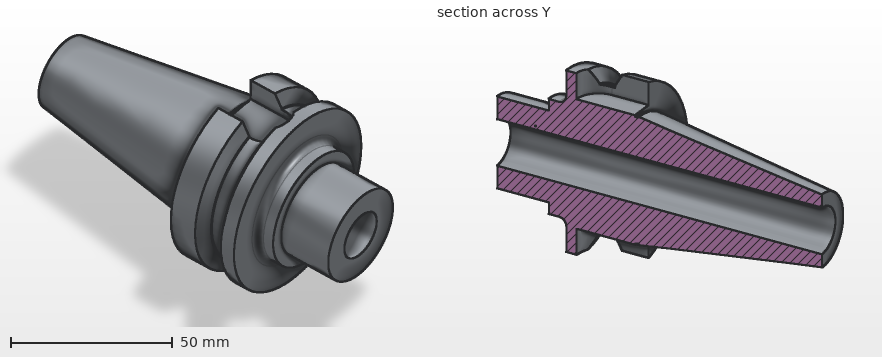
import cadquery as cq
import math


gauge_diameter = 44.45
shank_length = 65.4
taper_ratio = 7 / 24
gauge_radius = gauge_diameter / 2
small_end_radius = gauge_radius - shank_length * taper_ratio / 2
rim_start = 0.3
rim_end = 0.95
rim_radius = gauge_radius + rim_start * taper_ratio / 2
neck_radius = 22.0

flange_start = 2.0
flange_end = 27.0
flange_radius = 63.0 / 2
groove_bottom_radius = 26.5
groove_lip_radius = 26.9
groove_wall_angle = math.radians(60)
groove_center = flange_start + 14.7
groove_half_width = 5.1
groove_wall_run = (flange_radius - groove_lip_radius) / math.tan(groove_wall_angle)
groove_bottom_half_width = groove_half_width - groove_wall_run

shoulder_radius = 20.0
shoulder_end = flange_start + 31.3
shoulder_fillet = 2.5
pilot_radius = 16.0
overall_length = 117.3
pilot_end = overall_length - shank_length

bore_radius = 8.0

slot_width = 16.0
slot_floor_height = 22.5
slot_end = flange_start + 21.2


def make_body():
    """Revolve the half profile of the holder about the X axis."""
    fillet_end = flange_end + shoulder_fillet
    fillet_top = shoulder_radius + shoulder_fillet
    profile = (
        cq.Workplane("XY")
        .moveTo(-shank_length, bore_radius)
        .lineTo(-shank_length, small_end_radius)
        .lineTo(rim_start, rim_radius)
        .lineTo(rim_end, rim_radius)
        .lineTo(rim_end, neck_radius)
        .lineTo(flange_start, neck_radius)
        .lineTo(flange_start, flange_radius)
        .lineTo(groove_center - groove_half_width, flange_radius)
        .lineTo(groove_center - groove_bottom_half_width, groove_lip_radius)
        .lineTo(groove_center - groove_bottom_half_width, groove_bottom_radius)
        .lineTo(groove_center + groove_bottom_half_width, groove_bottom_radius)
        .lineTo(groove_center + groove_bottom_half_width, groove_lip_radius)
        .lineTo(groove_center + groove_half_width, flange_radius)
        .lineTo(flange_end, flange_radius)
        .lineTo(flange_end, fillet_top)
        .radiusArc((fillet_end, shoulder_radius), -shoulder_fillet)
        .lineTo(shoulder_end, shoulder_radius)
        .lineTo(shoulder_end, pilot_radius)
        .lineTo(pilot_end, pilot_radius)
        .lineTo(pilot_end, bore_radius)
        .close()
    )
    return profile.revolve(360, (0, 0, 0), (1, 0, 0))


def make_drive_slot():
    """Round-ended cutter for the top drive slot, open at the front face of the flange."""
    half_width = slot_width / 2
    arc_center = slot_end - half_width
    slot_depth = flange_radius - slot_floor_height
    return (
        cq.Workplane("XY")
        .workplane(offset=slot_floor_height)
        .moveTo(flange_start, -half_width)
        .lineTo(arc_center, -half_width)
        .threePointArc((slot_end, 0), (arc_center, half_width))
        .lineTo(flange_start, half_width)
        .close()
        .extrude(slot_depth)
    )


top_slot = make_drive_slot()
bottom_slot = top_slot.rotate((0, 0, 0), (1, 0, 0), 180)
result = make_body().cut(top_slot).cut(bottom_slot)